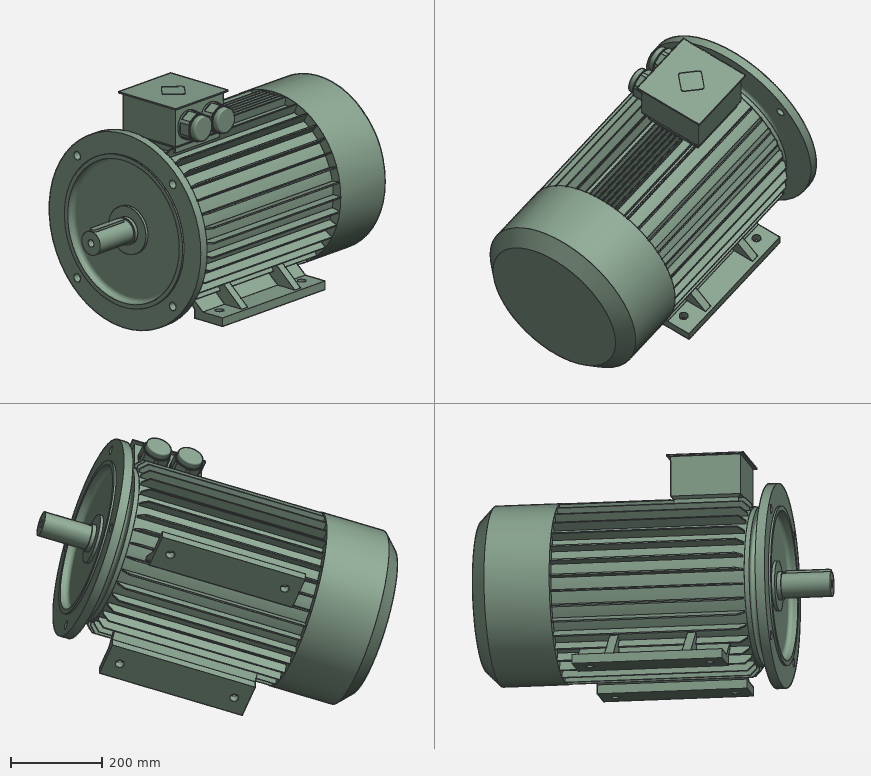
import cadquery as cq
import math


shaft_dia = 55.0
shaft_length = 110.0
shaft_hole_dia = 17.0
shaft_hole_depth = 23.0
key_width = 16.0
key_top = 31.5
key_length = 102.5
key_end_gap = 1.5
boss_dia = 110.0
boss_height = 7.0
collar_dia = 62.0
collar_height = 9.0

flange_dia = 450.0
flange_thick = 21.0
flange_hole_dia = 19.0
bolt_circle_dia = 400.5
bolt_count = 4
spigot_dia = 350.0
spigot_height = 5.0
recess_dia = 330.0
recess_depth = 19.0
recess_fillet = 10.0

neck_dia = 300.0
neck_fillet = 8.0
shield_front_y = 43.0
shield_rear_y = 54.0

total_length = 770.0
barrel_dia = 352.0
rear_y = total_length - shaft_length
cowl_dia = 397.0
cowl_front_y = 483.5
cowl_chamfer = 31.5
fin_count = 36
fin_thick = 3.0
fin_tip_radius = 198.0
fin_front_y = 57.0
fin_chamfer = 15.0
fin_embed = 8.0

pad_width = 105.0
pad_top = 175.5
pad_front_y = 64.0
rib_count = 5
rib_pitch = 11.5
rib_thick = 2.0
rib_top = 195.5
rib_chamfer = 8.5

box_side = 155.5
box_y = 157.0
box_bottom = 187.0
box_chamfer = 6.0
lid_side = 170.0
lid_thick = 3.0
lid_top = 285.0
badge_side = 51.0
badge_corner = 6.0
badge_height = 1.5
box_rear_y = box_y + box_side / 2

gland_z = 235.0
gland_spacing = 74.0
gland_washer_dia = 67.0
gland_washer_x = 83.0
gland_hex_flats = 61.5
gland_hex_x = 108.0
gland_ring_dia = 62.0
gland_ring_x = 110.0
gland_cap_dia = 58.0
gland_cap_x = 124.0
gland_cap_fillet = 4.0

foot_bottom = -200.0
foot_thick = 20.0
foot_outer_x = 199.0
foot_inner_x = 116.0
foot_front_y = 99.0
foot_length = 333.5
foot_hole_dia = 19.0
foot_hole_x = 159.5
foot_hole_spacing = 267.0
foot_web_x = 140.0
foot_slope = 40.0
foot_web_top = -115.5
gusset_x = 191.0
gusset_thick = 19.0
gusset_spacing = 172.5
foot_middle_y = foot_front_y + foot_length / 2
foot_top = foot_bottom + foot_thick


def cylinder_y(diameter, start, end):
    """Cylinder on the shaft axis from y = start to y = end."""
    circle = cq.Workplane("XZ", origin=(0, start, 0)).circle(diameter / 2)
    return circle.extrude(start - end)


def cylinder_x(diameter, start, end):
    """Cylinder on the X axis from x = start to x = end."""
    return cq.Workplane("YZ", origin=(start, 0, 0)).circle(diameter / 2).extrude(end - start)


def make_flange():
    disc = cylinder_y(flange_dia, 0, flange_thick)
    disc = disc.union(cylinder_y(spigot_dia, -spigot_height, 0))
    holes = (
        cq.Workplane("XZ")
        .polarArray(bolt_circle_dia / 2, 360 / bolt_count / 2, 360, bolt_count)
        .circle(flange_hole_dia / 2)
        .extrude(-flange_thick)
    )
    floor_y = recess_depth - spigot_height
    recess = cylinder_y(recess_dia, -spigot_height, floor_y)
    recess = recess.faces(">Y").edges().fillet(recess_fillet)
    boss_y = floor_y - boss_height
    boss = cylinder_y(boss_dia, boss_y, floor_y)
    collar = cylinder_y(collar_dia, boss_y - collar_height, floor_y)
    return disc.cut(holes).cut(recess).union(boss).union(collar)


def make_neck():
    """Neck flared by concave fillets into the flange and the end shield."""
    neck_radius = neck_dia / 2
    flare_radius = neck_radius + neck_fillet
    arc_offset = neck_fillet * (1 - math.sqrt(0.5))
    neck = (
        cq.Workplane("XY")
        .moveTo(0, flange_thick)
        .lineTo(flare_radius, flange_thick)
        .threePointArc(
            (neck_radius + arc_offset, flange_thick + arc_offset),
            (neck_radius, flange_thick + neck_fillet),
        )
        .lineTo(neck_radius, shield_front_y - neck_fillet)
        .threePointArc(
            (neck_radius + arc_offset, shield_front_y - arc_offset),
            (flare_radius, shield_front_y),
        )
        .lineTo(0, shield_front_y)
        .close()
        .revolve(360, (0, 0, 0), (0, 1, 0))
    )
    return neck.union(cylinder_y(spigot_dia, shield_front_y, shield_rear_y))


def make_shaft():
    shaft = cylinder_y(shaft_dia, -shaft_length, recess_depth)
    hole = cylinder_y(shaft_hole_dia, -shaft_length, shaft_hole_depth - shaft_length)
    key_middle_y = -shaft_length + key_end_gap + key_length / 2
    key = (
        cq.Workplane("XY", origin=(0, key_middle_y, 0))
        .slot2D(key_length, key_width, 90)
        .extrude(key_top)
    )
    return shaft.union(key).cut(hole)


def make_fin(angle, front_y, chamfer):
    """Radial fin at an angle from +X towards +Z, with its front corner cut at 45 degrees."""
    root_radius = barrel_dia / 2 - fin_embed
    fin = (
        cq.Workplane("XY")
        .moveTo(root_radius, front_y)
        .lineTo(fin_tip_radius - chamfer, front_y)
        .lineTo(fin_tip_radius, front_y + chamfer)
        .lineTo(fin_tip_radius, cowl_front_y)
        .lineTo(root_radius, cowl_front_y)
        .close()
        .extrude(fin_thick / 2, both=True)
    )
    return fin.rotate((0, 0, 0), (0, 1, 0), -angle)


def make_body():
    cowl = cylinder_y(cowl_dia, cowl_front_y, rear_y).faces(">Y").chamfer(cowl_chamfer)
    body = cylinder_y(barrel_dia, shield_rear_y, cowl_front_y).union(cowl)
    fin_pitch = 360 / fin_count
    for i in range(fin_count):
        angle = i * fin_pitch
        from_top = abs(angle - 90)
        if from_top < fin_pitch / 2:
            continue
        beside_pad = from_top < 1.5 * fin_pitch
        front_y = box_rear_y if beside_pad else fin_front_y
        chamfer = rib_chamfer if beside_pad else fin_chamfer
        body = body.union(make_fin(angle, front_y, chamfer))
    return body


def make_pad():
    pad = cq.Workplane("XY").box(
        pad_width, cowl_front_y - pad_front_y, pad_top, centered=(True, False, False)
    )
    pad = pad.translate((0, pad_front_y, 0))
    for i in range(rib_count):
        x = (i - (rib_count - 1) / 2) * rib_pitch
        rib = (
            cq.Workplane("YZ", origin=(x, 0, 0))
            .moveTo(box_rear_y, pad_top)
            .lineTo(box_rear_y, rib_top - rib_chamfer)
            .lineTo(box_rear_y + rib_chamfer, rib_top)
            .lineTo(cowl_front_y, rib_top)
            .lineTo(cowl_front_y, pad_top)
            .close()
            .extrude(rib_thick / 2, both=True)
        )
        pad = pad.union(rib)
    return pad


def make_terminal_box():
    lid_bottom = lid_top - lid_thick
    box = (
        cq.Workplane("XY", origin=(0, box_y, box_bottom))
        .rect(box_side, box_side)
        .extrude(lid_bottom - box_bottom)
        .faces("<Z")
        .chamfer(box_chamfer)
    )
    pedestal_side = box_side - 2 * box_chamfer
    pedestal = (
        cq.Workplane("XY", origin=(0, box_y, pad_top))
        .rect(pedestal_side, pedestal_side)
        .extrude(box_bottom - pad_top)
    )
    lid = (
        cq.Workplane("XY", origin=(0, box_y, lid_bottom))
        .rect(lid_side, lid_side)
        .extrude(lid_thick)
    )
    badge = (
        cq.Workplane("XY")
        .rect(badge_side, badge_side)
        .extrude(badge_height)
        .edges("|Z")
        .fillet(badge_corner)
        .rotate((0, 0, 0), (0, 0, 1), 45)
        .translate((0, box_y, lid_top))
    )
    box = box.union(pedestal).union(lid).union(badge)
    for side in (-1, 1):
        box = box.union(make_gland().translate((0, box_y + side * gland_spacing / 2, gland_z)))
    return box


def make_gland():
    """Cable gland pointing along +X: washer, hexagon with trimmed corners, ring and rounded cap."""
    hex_across_corners = gland_hex_flats / math.cos(math.pi / 6)
    hexagon = (
        cq.Workplane("YZ", origin=(gland_washer_x, 0, 0))
        .polygon(6, hex_across_corners)
        .extrude(gland_hex_x - gland_washer_x)
        .rotate((0, 0, 0), (1, 0, 0), 90)
        .intersect(cylinder_x(gland_washer_dia, gland_washer_x, gland_hex_x))
    )
    washer = cylinder_x(gland_washer_dia, box_side / 2, gland_washer_x)
    ring = cylinder_x(gland_ring_dia, gland_hex_x, gland_ring_x)
    cap = cylinder_x(gland_cap_dia, gland_ring_x, gland_cap_x)
    cap = cap.faces(">X").edges().fillet(gland_cap_fillet)
    return washer.union(hexagon).union(ring).union(cap)


def sloped_web(base_x, middle_y, length):
    """Web rising from the foot plate at base_x and leaning inwards to the barrel."""
    top_x = base_x - (foot_web_top - foot_top) / math.tan(math.radians(foot_slope))
    outline = [
        (foot_inner_x, foot_top),
        (base_x, foot_top),
        (top_x, foot_web_top),
    ]
    web = cq.Workplane("XZ", origin=(0, middle_y, 0)).polyline(outline).close()
    return web.extrude(length / 2, both=True)


def make_foot():
    """Foot on the +X side."""
    width = foot_outer_x - foot_inner_x
    foot = (
        cq.Workplane("XY", origin=(foot_inner_x + width / 2, foot_middle_y, foot_bottom))
        .rect(width, foot_length)
        .extrude(foot_thick)
    )
    foot = foot.union(sloped_web(foot_web_x, foot_middle_y, foot_length))
    for side in (-1, 1):
        gusset_y = foot_middle_y + side * gusset_spacing / 2
        foot = foot.union(sloped_web(gusset_x, gusset_y, gusset_thick))
    holes = (
        cq.Workplane("XY", origin=(foot_hole_x, foot_middle_y, foot_bottom))
        .rarray(8, foot_hole_spacing, 1, 2)
        .circle(foot_hole_dia / 2)
        .extrude(foot_thick)
    )
    return foot.cut(holes)


foot = make_foot()
result = (
    make_body()
    .union(make_neck())
    .union(make_flange())
    .union(make_shaft())
    .union(make_pad())
    .union(make_terminal_box())
    .union(foot)
    .union(foot.mirror("YZ"))
)